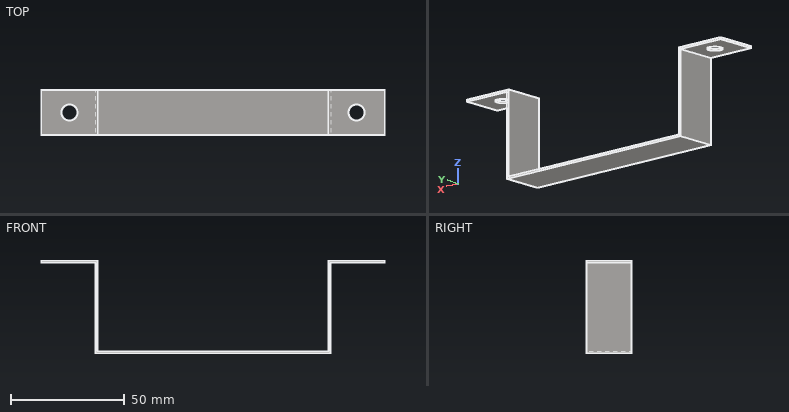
import cadquery as cq

overall_length = 152.0
strip_width = 20.0
overall_height = 41.0
thickness = 1.0
flange_length = 25.0
hole_diameter = 7.0

half_length = overall_length / 2
inner_half_span = half_length - flange_length
outer_half_span = inner_half_span + thickness
flange_underside = overall_height - thickness
hole_offset = half_length - flange_length / 2


def make_strip():
    """Hat-shaped strip, centred on X and Y, with its base resting on Z = 0."""
    half_profile = [
        (0, 0),
        (outer_half_span, 0),
        (outer_half_span, flange_underside),
        (half_length, flange_underside),
        (half_length, overall_height),
        (inner_half_span, overall_height),
        (inner_half_span, thickness),
        (0, thickness),
    ]
    half_strip = cq.Workplane("XZ").polyline(half_profile).close().extrude(strip_width / 2, both=True)
    return half_strip.union(half_strip.mirror("YZ")).clean()


def make_flange_holes():
    """Cutters for the mounting hole through each flange."""
    return (
        cq.Workplane("XY")
        .workplane(offset=flange_underside)
        .pushPoints([(-hole_offset, 0), (hole_offset, 0)])
        .circle(hole_diameter / 2)
        .extrude(thickness)
    )


result = make_strip().cut(make_flange_holes())